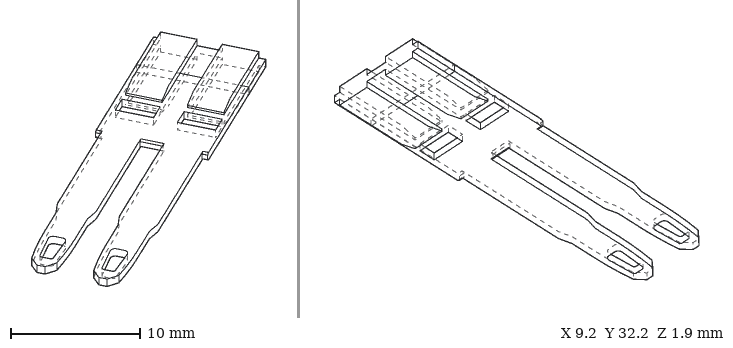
import cadquery as cq

length = 32.2
width = 9.2
thickness = 0.7
overall_height = 1.9
split_y = -4.0
prong_pitch = 5.1

shoulder_y = -13.6
shoulder_chamfer_length = 0.2
shoulder_chamfer_depth = 0.13

prong_width = 3.2
neck_width = 2.58
neck_start_y = -23.85
neck_end_y = -25.02
neck_radius = 1.45
bow_start_y = -27.7
bow_end_y = -31.43
bow_end_width = 2.05
tip_width = 0.68

eye_rear_y = -28.08
eye_front_y = -31.05
eye_rear_width = 1.45
eye_front_width = 1.05
eye_rear_radius = 0.4
eye_front_radius = 0.2

window_width = 3.12
window_rear_y = -8.8
window_front_y = -10.35

pad_width = 3.0
pad_pitch = 5.05
ramp_start_y = -6.7
pad_front_y = -8.18
pad_front_step = 0.2

lane_sides = (-1, 1)


def make_front_plate():
    """Front slab with its shoulder edges chamfered above and below."""
    half = thickness / 2
    inset_y = shoulder_y + shoulder_chamfer_length
    flank = half - shoulder_chamfer_depth
    side_outline = [
        (split_y, half),
        (inset_y, half),
        (shoulder_y, flank),
        (shoulder_y, -flank),
        (inset_y, -half),
        (split_y, -half),
    ]
    return cq.Workplane("YZ").polyline(side_outline).close().extrude(width / 2, both=True)


def make_prong(center_x):
    """One prong with a rounded narrowing, a bowed end and a blunt pointed tip."""
    root_y = shoulder_y + shoulder_chamfer_length
    half_prong = prong_width / 2
    half_neck = neck_width / 2
    half_end = bow_end_width / 2
    half_tip = tip_width / 2

    prong_half = (
        cq.Workplane("XY")
        .moveTo(0, root_y)
        .lineTo(half_prong, root_y)
        .lineTo(half_prong, neck_start_y)
        .lineTo(half_neck, neck_end_y)
        .lineTo(half_neck, bow_start_y)
        .tangentArcPoint((half_end, bow_end_y), relative=False)
        .lineTo(half_tip, -length)
        .lineTo(0, -length)
        .close()
        .extrude(thickness / 2, both=True)
    )
    narrowing_edge = cq.selectors.NearestToPointSelector((half_prong, neck_start_y, 0))
    prong_half = prong_half.edges("|Z").edges(narrowing_edge).fillet(neck_radius)
    prong = prong_half.union(prong_half.mirror("YZ")).clean()
    return prong.translate((center_x, 0, 0))


def make_eye(center_x):
    """Cutter for the tapered eye with rounded corners."""
    outline = [
        (-eye_rear_width / 2, eye_rear_y),
        (eye_rear_width / 2, eye_rear_y),
        (eye_front_width / 2, eye_front_y),
        (-eye_front_width / 2, eye_front_y),
    ]
    eye = cq.Workplane("XY").polyline(outline).close().extrude(thickness, both=True)
    eye = eye.edges("|Z and >Y").fillet(eye_rear_radius)
    eye = eye.edges("|Z and <Y").fillet(eye_front_radius)
    return eye.translate((center_x, 0, 0))


def make_window(center_x):
    """Cutter for the rectangular window in the plate."""
    window = cq.Workplane("XY").box(window_width, window_rear_y - window_front_y, 2 * thickness)
    return window.translate((center_x, (window_rear_y + window_front_y) / 2, 0))


def make_terminal():
    """Flat terminal: front plate, two prongs, their eyes and the windows."""
    body = make_front_plate()
    for side in lane_sides:
        center_x = side * prong_pitch / 2
        body = body.union(make_prong(center_x))
        body = body.cut(make_eye(center_x)).cut(make_window(center_x))
    return body


def make_pad(center_x, face):
    """One pad on the upper (face = 1) or lower (face = -1) side of the plate."""
    plate_z = face * thickness / 2
    outer_z = face * overall_height / 2
    side_outline = [
        (0, plate_z),
        (0, outer_z),
        (ramp_start_y, outer_z),
        (pad_front_y, plate_z + face * pad_front_step),
        (pad_front_y, plate_z),
    ]
    pad = cq.Workplane("YZ").polyline(side_outline).close().extrude(pad_width / 2, both=True)
    return pad.translate((center_x, 0, 0))


def make_holder():
    """Rear slab whose four pads reach forward over and under the terminal."""
    body = cq.Workplane("XY").box(width, -split_y, thickness).translate((0, split_y / 2, 0))
    for side in lane_sides:
        for face in (1, -1):
            body = body.union(make_pad(side * pad_pitch / 2, face))
    return body


terminal = make_terminal()
holder = make_holder()

result = cq.Compound.makeCompound([terminal.val(), holder.val()])